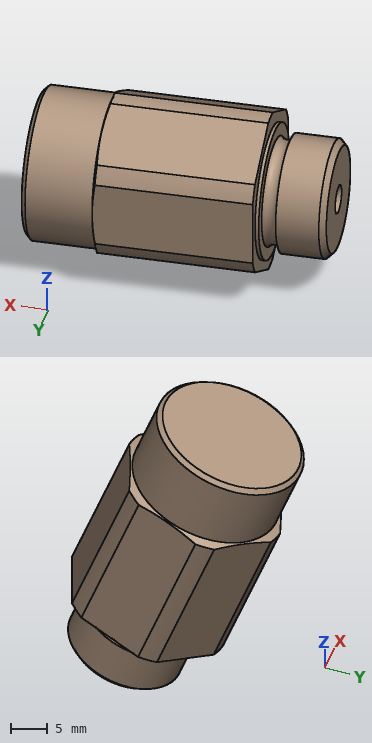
import cadquery as cq
import math

length = 42.0
spigot_end = 6.9
collar_start = 9.0
hex_start = 9.5
hex_end = 32.0
bore_depth = 12.6

spigot_diameter = 16.67
spigot_face_diameter = 14.95
collar_diameter = 19.05
body_diameter = 21.5
bore_diameter = 4.0
hex_across_flats = 22.0
hex_corner_diameter = 24.0

body_chamfer = 0.65
neck_edge_radius = 7.7
neck_arc_start = 7.15
neck_arc_start_radius = 7.5
neck_bottom_radius = 7.22
hex_chamfer_angle = 20.0
spigot_chamfer = (spigot_diameter - spigot_face_diameter) / 2


def cylinder(start, end, diameter):
    """Cylinder on the X axis between two stations."""
    return cq.Workplane("YZ").workplane(offset=start).circle(diameter / 2).extrude(end - start)


def make_spigot():
    """Chamfered spigot with a rounded undercut next to the collar."""
    radius = spigot_diameter / 2
    neck_middle = (spigot_end + collar_start) / 2
    return (
        cq.Workplane("XY")
        .lineTo(0, spigot_face_diameter / 2)
        .lineTo(spigot_chamfer, radius)
        .lineTo(spigot_end, radius)
        .lineTo(spigot_end, neck_edge_radius)
        .lineTo(neck_arc_start, neck_arc_start_radius)
        .threePointArc((neck_middle, neck_bottom_radius), (collar_start, neck_edge_radius))
        .lineTo(collar_start, 0)
        .close()
        .revolve(360, (0, 0, 0), (-1, 0, 0))
    )


def make_hexagon():
    """Hexagon with two flats facing Y, turned corners and a conical end chamfer."""
    corner_radius = hex_corner_diameter / 2
    cone_radius = body_diameter / 2
    chamfer_length = (corner_radius - cone_radius) * math.tan(math.radians(hex_chamfer_angle))
    prism = (
        cq.Workplane("YZ")
        .workplane(offset=hex_start)
        .polygon(6, hex_across_flats / math.cos(math.pi / 6))
        .extrude(hex_end - hex_start)
        .rotate((0, 0, 0), (1, 0, 0), 90)
    )
    envelope = (
        cq.Workplane("XY")
        .moveTo(hex_start, 0)
        .lineTo(hex_start, corner_radius)
        .lineTo(hex_end - chamfer_length, corner_radius)
        .lineTo(hex_end, cone_radius)
        .lineTo(hex_end, 0)
        .close()
        .revolve(360, (0, 0, 0), (-1, 0, 0))
    )
    return prism.intersect(envelope)


body = cylinder(hex_start, length, body_diameter).faces(">X").chamfer(body_chamfer)
collar = cylinder(collar_start, hex_start, collar_diameter)
bore = cylinder(0, bore_depth, bore_diameter)

result = make_spigot().union(collar).union(make_hexagon()).union(body).cut(bore)